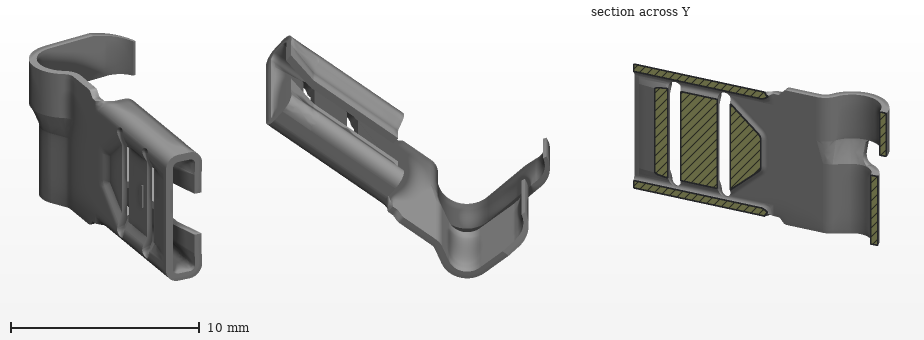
import cadquery as cq
import math

sheet = 0.42

plate_half_width = 3.93
neck_half_width = 3.58
hook_root_x = 5.93
shoulder_outer_x = 6.57
shoulder_inner_x = 6.88
shoulder_radius = 0.23
curl_start_x = 7.23

roll_start_x = 7.85
mouth_x = 15.49
roll_half_width = 3.67
roll_radius = 0.75
roll_height = 2.15
roll_axis_z = roll_half_width - roll_radius
flap_edge_z = 1.2
jog_angle = 36.0
mouth_jog_angle = 3.0
jog_length = 0.59
jog_radius = 0.06

floor_rise = 0.3
floor_thickness = 0.33
floor_wall_angle = 28.0
floor_start_x = 8.33
floor_start_half_width = 0.77
floor_full_x = 9.99
ramp_start_x = 13.58
ramp_end_x = 15.21

slot_width = 0.75
slot_half_length = 3.2
slot_centres_x = (10.13, 13.07)
lance_edge_x = 12.28
lance_radius = 0.64
lance_height = 0.08

root_bend_radius = 0.6
upper_hook_radius = 1.98
upper_hook_depth = 1.29
upper_bend_x = 4.66
upper_straight = 3.53
upper_lean = 7.4
upper_tip_radius = 1.56
upper_tip_turn = 74.0
upper_bottom_z = 1.38
lower_hook_radius = 1.45
lower_bend_x = 4.29
lower_root_angle = 29.6
lower_root_straight = 0.98
lower_straight = 2.35
lower_lean = 11.5
lower_tip_radius = 1.45
lower_tip_full_turn = 12.0
lower_tip_taper_turn = 69.0
lower_top_z = 0.12
tip_thickness = 0.2

taper_angle = 14.5
upper_taper_y = 3.25
lower_taper_y = 2.05

gap_end_x = 2.39
gap_lower_radius = 0.53
gap_upper_radius = 0.22

clearance = 0.77


def direction(heading):
    """Unit vector for a heading in degrees."""
    angle = math.radians(heading)
    return cq.Vector(math.cos(angle), math.sin(angle))


def line(length):
    """Straight step of a bent strip."""
    return {"length": length}


def bend(radius, turn, end_thickness=sheet):
    """Bend with the given radius on the outer face; a positive turn curves to the right."""
    return {"radius": radius, "turn": turn, "end_thickness": end_thickness}


def bent_strip(plane, start, steps):
    """Closed outline of a bent sheet leaving start toward local -X, with its thickness to the right."""
    outer = cq.Vector(*start)
    heading = 180.0
    outer_points = [(None, outer)]
    inner_points = [(None, outer + direction(heading - 90) * sheet)]
    for step in steps:
        if "length" in step:
            outer = outer + direction(heading) * step["length"]
            outer_points.append((None, outer))
            inner_points.append((None, outer + direction(heading - 90) * sheet))
            continue
        side = math.copysign(1, step["turn"])
        centre = outer + direction(heading - 90) * (side * step["radius"])
        middle_heading = heading - step["turn"] / 2
        heading -= step["turn"]
        middle = centre - direction(middle_heading - 90) * (side * step["radius"])
        outer = centre - direction(heading - 90) * (side * step["radius"])
        middle_thickness = (sheet + step["end_thickness"]) / 2
        outer_points.append((middle, outer))
        inner_points.append((
            middle + direction(middle_heading - 90) * middle_thickness,
            outer + direction(heading - 90) * step["end_thickness"],
        ))

    outline = cq.Workplane(plane).moveTo(*start)
    for middle, end in outer_points[1:]:
        outline = outline.threePointArc(middle, end) if middle else outline.lineTo(end.x, end.y)
    outline = outline.lineTo(inner_points[-1][1].x, inner_points[-1][1].y)
    for index in range(len(inner_points) - 1, 0, -1):
        middle = inner_points[index][0]
        end = inner_points[index - 1][1]
        outline = outline.threePointArc(middle, end) if middle else outline.lineTo(end.x, end.y)
    return outline.close()


def loft(first, second):
    """Ruled solid between two closed outlines."""
    wires = [first.wires().val(), second.wires().val()]
    return cq.Workplane(cq.Solid.makeLoft(wires, True))


def cross_plane(x):
    """Plane across the part at x, with local X along Z and local Y along Y."""
    return cq.Plane(origin=(x, 0, 0), xDir=(0, 0, 1), normal=(-1, 0, 0))


def level_plane(z):
    """Horizontal plane at z, with local X and Y along X and Y."""
    return cq.Plane(origin=(0, 0, z))



upper_root_angle = math.degrees(math.acos(1 - upper_hook_depth / (upper_hook_radius + root_bend_radius)))
upper_root = [
    line(hook_root_x - upper_bend_x),
    bend(root_bend_radius, -upper_root_angle),
]
lower_root = [
    line(hook_root_x - lower_bend_x),
    bend(root_bend_radius, -lower_root_angle),
    line(lower_root_straight),
]


def upper_hook():
    """Hook on the +Z side, bent out to -Y and back up."""
    steps = [
        *upper_root,
        bend(upper_hook_radius, upper_root_angle + 90 - upper_lean),
        line(upper_straight),
        bend(upper_tip_radius, upper_tip_turn, tip_thickness),
    ]
    height = plate_half_width - upper_bottom_z
    hook = bent_strip(level_plane(upper_bottom_z), (hook_root_x, 0), steps).extrude(height)
    return hook.cut(taper_cutter(upper_taper_y))


def lower_hook():
    """Shallower and shorter hook on the -Z side."""
    steps = [
        *lower_root,
        bend(lower_hook_radius, lower_root_angle + 90 - lower_lean),
        line(lower_straight),
        bend(lower_tip_radius, lower_tip_full_turn),
        bend(lower_tip_radius, lower_tip_taper_turn, tip_thickness),
    ]
    height = lower_top_z + plate_half_width
    hook = bent_strip(level_plane(-plate_half_width), (hook_root_x, 0), steps).extrude(height)
    return hook.cut(taper_cutter(lower_taper_y).mirror("XY"))


def taper_cutter(start_y):
    """Wedge that slopes the +Z edge of a hook from start_y to its tip."""
    length = plate_half_width
    drop = length * math.tan(math.radians(taper_angle))
    return (
        cq.Workplane("YZ")
        .polyline([
            (start_y, plate_half_width),
            (start_y + length, plate_half_width - drop),
            (start_y + length, plate_half_width),
        ])
        .close()
        .extrude(hook_root_x)
        .translate((-clearance, 0, 0))
    )


def web():
    """Twisted web joining the roots of the two hooks, with a rounded end to the gap."""
    past_lower = math.degrees(math.asin(gap_lower_radius / lower_hook_radius))
    past_upper = math.degrees(math.asin(gap_lower_radius / upper_hook_radius))
    lower = bent_strip(level_plane(lower_top_z), (hook_root_x, 0), [
        *lower_root,
        bend(lower_hook_radius, lower_root_angle + past_lower),
    ])
    upper = bent_strip(level_plane(upper_bottom_z), (hook_root_x, 0), [
        *upper_root,
        bend(upper_hook_radius, upper_root_angle / 2),
        bend(upper_hook_radius, upper_root_angle / 2 + past_upper),
    ])
    gap = (
        cq.Workplane("XY")
        .box(gap_end_x, plate_half_width, upper_bottom_z - lower_top_z, centered=(False, True, False))
        .edges("|Y and >X and <Z")
        .fillet(gap_lower_radius)
        .edges("|Y and >X and >Z")
        .fillet(gap_upper_radius)
        .translate((0, 0, lower_top_z))
    )
    return loft(lower, upper).cut(gap)




def plate():
    """Flat plate with sloped shoulders, the neck, and the flat base between the rolled sides."""
    body = cq.Workplane("XZ").polyline([
        (hook_root_x, -plate_half_width),
        (shoulder_outer_x, -plate_half_width),
        (shoulder_inner_x, -neck_half_width),
        (curl_start_x, -neck_half_width),
        (curl_start_x, neck_half_width),
        (shoulder_inner_x, neck_half_width),
        (shoulder_outer_x, plate_half_width),
        (hook_root_x, plate_half_width),
    ]).close().extrude(-sheet)
    body = body.edges("|Y").edges("not(<X or >X)").fillet(shoulder_radius)
    base = (
        cq.Workplane("XY")
        .box(mouth_x - curl_start_x, sheet, 2 * roll_axis_z, centered=(False, False, True))
        .translate((curl_start_x, 0, 0))
    )
    return body.union(base)


def neck_curl():
    """Edge of the neck curling from flat up into the start of the roll, on the -Z side."""
    flat = bent_strip(cross_plane(curl_start_x), (-roll_axis_z, 0), [line(neck_half_width - roll_axis_z)])
    curled = bent_strip(cross_plane(roll_start_x), (-roll_axis_z, 0), [bend(roll_radius, 90)])
    return loft(flat, curled)




def roll_outline(x, angle):
    """Rolled side and folded flap on the -Z side; the flap steps inward at the given angle."""
    slope = math.radians(angle)
    bends_run = (roll_radius + jog_radius) * math.sin(slope)
    flap = roll_axis_z - flap_edge_z - bends_run - jog_length * math.cos(slope)
    return bent_strip(cross_plane(x), (-roll_axis_z, 0), [
        bend(roll_radius, 90),
        line(roll_height - 2 * roll_radius),
        bend(roll_radius, 90 + angle),
        line(jog_length),
        bend(jog_radius, -angle),
        line(flap),
    ])


def rolled_side():
    """Rolled side and flap on the -Z side, with the flap flaring open toward the mouth."""
    straight = roll_outline(roll_start_x, jog_angle).extrude(roll_start_x - ramp_start_x)
    flared = loft(roll_outline(ramp_start_x, jog_angle), roll_outline(mouth_x, mouth_jog_angle))
    return straight.union(flared)



wall_slope = math.radians(floor_wall_angle)
wall_arc_run = roll_radius * math.sin(wall_slope)
wall_arc_rise = roll_radius * (1 - math.cos(wall_slope))
wall_run = wall_arc_run + (floor_rise - wall_arc_rise) / math.tan(wall_slope)
floor_half_width = roll_axis_z - wall_run


def wall_points(offset, top_y):
    """Arc start, middle, arc end and floor edge of the wall, as (run from the flat sheet, Y).

    The arc is centred at the height of the roll axis; offset is the Y of the sheet face it leaves.
    """
    radius = roll_radius - offset
    half = wall_slope / 2
    arc_end_run = radius * math.sin(wall_slope)
    arc_end_y = roll_radius - radius * math.cos(wall_slope)
    return [
        (0, offset),
        (radius * math.sin(half), roll_radius - radius * math.cos(half)),
        (arc_end_run, arc_end_y),
        (arc_end_run + (top_y - arc_end_y) / math.tan(wall_slope), top_y),
    ]


def floor_section(x, offset, top_y, base_y):
    """Section across the raised floor, closed at base_y."""
    start, middle, end, edge = wall_points(offset, top_y)
    z = roll_axis_z
    return (
        cq.Workplane(cross_plane(x))
        .moveTo(-z, base_y)
        .lineTo(-z, start[1])
        .threePointArc((middle[0] - z, middle[1]), (end[0] - z, end[1]))
        .lineTo(edge[0] - z, edge[1])
        .lineTo(z - edge[0], edge[1])
        .lineTo(z - end[0], end[1])
        .threePointArc((z - middle[0], middle[1]), (z, start[1]))
        .lineTo(z, base_y)
        .close()
    )


def flat_section(x, offset, top_y, base_y):
    """Section with the same corners as floor_section, flattened onto the sheet face."""
    end, edge = wall_points(offset, top_y)[2:]
    end_z = roll_axis_z - end[0]
    edge_z = roll_axis_z - edge[0]
    corners = [-roll_axis_z, -end_z, -edge_z, edge_z, end_z, roll_axis_z]
    points = [(-roll_axis_z, base_y)] + [(z, offset) for z in corners] + [(roll_axis_z, base_y)]
    return cq.Workplane(cross_plane(x)).polyline(points).close()


def wall_profile(plane, offset, top_y, base_y):
    """Wall profile with local X pointing out from the floor corner and local Y along Y."""
    start, middle, end, edge = [(wall_run - run, rise) for run, rise in wall_points(offset, top_y)]
    profile = (
        cq.Workplane(plane)
        .moveTo(0, base_y)
        .lineTo(start[0], base_y)
        .lineTo(*start)
        .threePointArc(middle, end)
        .lineTo(*edge)
    )
    if offset > 0:
        profile = profile.lineTo(0, top_y)
    return profile.close()


def floor_form(offset, top_y, base_y):
    """Solid between base_y and the raised floor, on the outer or inner face of the sheet."""
    corners = [
        (floor_full_x, -floor_half_width),
        (floor_start_x, -floor_start_half_width),
        (floor_start_x, floor_start_half_width),
        (floor_full_x, floor_half_width),
    ]
    form = floor_section(floor_full_x, offset, top_y, base_y).extrude(floor_full_x - ramp_start_x)
    middle = cq.Workplane("XZ", origin=(0, base_y, 0)).polyline(corners).close().extrude(base_y - top_y)
    form = form.union(middle)
    for (x0, z0), (x1, z1) in zip(corners, corners[1:]):
        length = math.hypot(x1 - x0, z1 - z0)
        outward = (-(z1 - z0) / length, 0, (x1 - x0) / length)
        backward = ((x0 - x1) / length, 0, (z0 - z1) / length)
        plane = cq.Plane(origin=(x0, 0, z0), xDir=outward, normal=backward)
        form = form.union(wall_profile(plane, offset, top_y, base_y).extrude(-length))
    for x, z in corners:
        plane = cq.Plane(origin=(x, 0, z), xDir=(1, 0, 0), normal=(0, 0, 1))
        form = form.union(wall_profile(plane, offset, top_y, base_y).revolve(360, (0, 0), (0, 1)))
    ramp_start = floor_section(ramp_start_x, offset, top_y, base_y)
    ramp_end = flat_section(ramp_end_x, offset, top_y, base_y)
    return form.union(loft(ramp_start, ramp_end))


def slot(centre_x):
    """Round-ended slot through the floor and near side of both rolls, its ends cut toward the roll axes."""
    outline = cq.Workplane("XZ", origin=(centre_x, 0, 0)).slot2D(2 * slot_half_length, slot_width, 90)
    inner_outline = (
        cq.Workplane("XZ", origin=(centre_x, roll_radius, 0))
        .slot2D(2 * roll_axis_z, slot_width, 90)
    )
    return loft(outline, inner_outline)


def lance():
    """Half-round tongue standing out of the floor toward -Y, highest at its straight edge."""
    start_x = lance_edge_x - lance_radius
    wedge = (
        cq.Workplane("XY")
        .polyline([
            (start_x, floor_rise),
            (lance_edge_x, floor_rise - lance_height),
            (lance_edge_x, floor_rise + sheet / 2),
            (start_x, floor_rise + sheet / 2),
        ])
        .close()
        .extrude(lance_radius, both=True)
    )
    disc = cq.Workplane("XZ", origin=(lance_edge_x, 0, 0)).circle(lance_radius).extrude(-2 * sheet)
    return wedge.intersect(disc)



raised_floor = floor_form(sheet, floor_rise + floor_thickness, sheet / 2)
floor_recess = floor_form(0, floor_rise, -clearance)
result = plate().union(raised_floor).cut(floor_recess)
for side in (neck_curl(), rolled_side()):
    result = result.union(side).union(side.mirror("XY"))
for slot_x in slot_centres_x:
    result = result.cut(slot(slot_x))
for piece in (lance(), upper_hook(), lower_hook(), web()):
    result = result.union(piece)